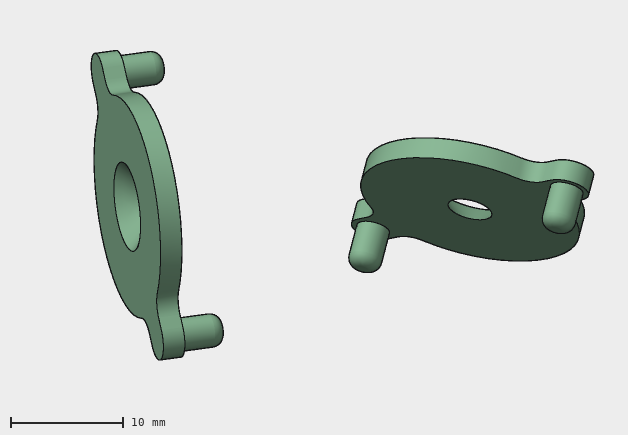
import cadquery as cq
import math

plate_thickness = 2.0
disc_radius = 10.0
lug_radius = 2.0
lug_distance = 12.5
neck_fillet_radius = 2.0
lug_axis_angle = 45.0
pin_diameter = 3.0
pin_length = 4.0
pin_tip_fillet = 1.0
hole_diameter = 4.0
countersink_diameter = 8.0

blend_centre_across = lug_radius + neck_fillet_radius
blend_centre_distance = disc_radius + neck_fillet_radius
blend_angle = math.asin(blend_centre_across / blend_centre_distance)
blend_centre_along = blend_centre_distance * math.cos(blend_angle)

disc_end = (disc_radius * math.cos(blend_angle), disc_radius * math.sin(blend_angle))
neck_start = (blend_centre_along, lug_radius)
to_disc = math.pi + blend_angle
to_neck = 1.5 * math.pi
blend_mid_angle = (to_disc + to_neck) / 2
blend_mid = (
    blend_centre_along + neck_fillet_radius * math.cos(blend_mid_angle),
    blend_centre_across + neck_fillet_radius * math.sin(blend_mid_angle),
)
lug_start = (lug_distance, lug_radius)


def mirror_along(point):
    return (-point[0], point[1])


def mirror_across(point):
    return (point[0], -point[1])


def opposite(point):
    return (-point[0], -point[1])


def make_plate():
    """Disc with two opposite lugs on the X axis, front face at Y = 0."""
    outline = (
        cq.Workplane("XZ")
        .moveTo(*disc_end)
        .threePointArc((0, disc_radius), mirror_along(disc_end))
        .threePointArc(mirror_along(blend_mid), mirror_along(neck_start))
        .lineTo(*mirror_along(lug_start))
        .threePointArc((-lug_distance - lug_radius, 0), opposite(lug_start))
        .lineTo(*opposite(neck_start))
        .threePointArc(opposite(blend_mid), opposite(disc_end))
        .threePointArc((0, -disc_radius), mirror_across(disc_end))
        .threePointArc(mirror_across(blend_mid), mirror_across(neck_start))
        .lineTo(*mirror_across(lug_start))
        .threePointArc((lug_distance + lug_radius, 0), lug_start)
        .lineTo(*neck_start)
        .threePointArc(blend_mid, disc_end)
        .close()
    )
    return outline.extrude(-plate_thickness)


def make_conical_hole():
    """Cone narrowing from the front face to the back face."""
    cone = cq.Solid.makeCone(
        countersink_diameter / 2,
        hole_diameter / 2,
        plate_thickness,
        pnt=cq.Vector(0, 0, 0),
        dir=cq.Vector(0, 1, 0),
    )
    return cq.Workplane(cone)


def make_pins():
    """Round-tipped pins, one behind each lug."""
    return (
        cq.Workplane("XZ", origin=(0, plate_thickness, 0))
        .pushPoints([(-lug_distance, 0), (lug_distance, 0)])
        .circle(pin_diameter / 2)
        .extrude(-pin_length)
        .faces(">Y")
        .edges()
        .fillet(pin_tip_fillet)
    )


part = make_plate().cut(make_conical_hole()).union(make_pins())
result = part.rotate((0, 0, 0), (0, 1, 0), lug_axis_angle)